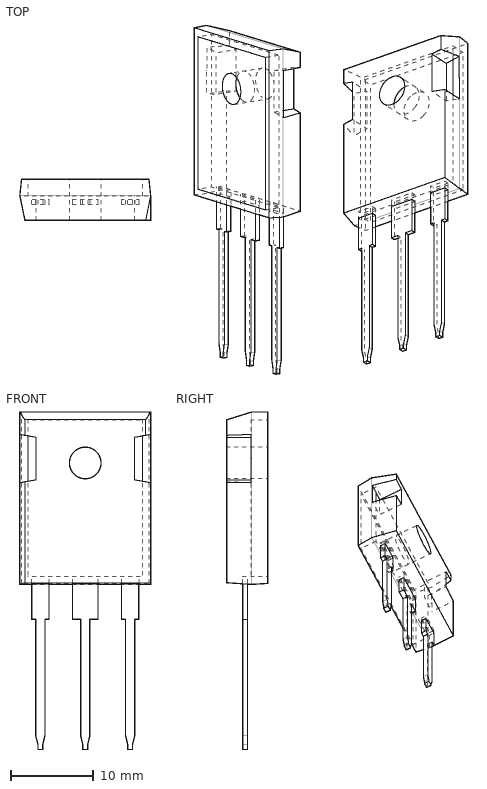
import cadquery as cq


width = 15.9
half_width = width / 2
top_z = 41.0
bottom_z = 20.05
front_depth = 3.05
back_depth = 1.95
front_top_inset = 0.95
front_side_inset = 0.6
front_bottom_inset = 0.2
back_side_inset = 0.2
back_bottom_inset = 0.12

notch_depth = 1.95
notch_floor_y = -0.1
notch_center_z = 35.35
notch_inner_height = 5.15
notch_outer_height = 5.85

hole_diameter = 3.8
hole_z = 34.83

plate_margin = 1.0

lead_pitch = 5.45
lead_thickness = 0.6
lead_back_y = -0.5
lead_embed = 1.0
lead_top_z = bottom_z + lead_embed
shoulder_z = 15.85
shank_width = 1.15
tip_width = 0.6
taper_top_z = 1.72
taper_bottom_z = 0.6
side_shoulder_width = 2.15
middle_shoulder_width = 3.1

overshoot = 0.4


def outline_wire(y, side_inset, top_inset, bottom_inset):
    """Rectangular outline of the housing in the plane at the given Y."""
    x = half_width - side_inset
    low = bottom_z + bottom_inset
    high = top_z - top_inset
    corners = [(-x, low), (x, low), (x, high), (-x, high)]
    return cq.Wire.makePolygon([cq.Vector(px, y, pz) for px, pz in corners], close=True)


def drafted_block(first, second):
    """Straight-sided solid between two outlines."""
    return cq.Workplane(obj=cq.Solid.makeLoft([first, second], True))


def front_block():
    """Front half: drafted all round, but with a straight +X side below the notch."""
    parting = outline_wire(0, 0, 0, 0)
    face = outline_wire(-front_depth, front_side_inset, front_top_inset, front_bottom_inset)
    straight_face = outline_wire(-front_depth, 0, front_top_inset, front_bottom_inset)
    lower_corner = cq.Workplane().box(
        half_width, front_depth, notch_center_z - bottom_z, centered=False
    ).translate((0, -front_depth, bottom_z))
    straight_side = drafted_block(parting, straight_face).intersect(lower_corner)
    return drafted_block(parting, face).union(straight_side)


def back_block():
    parting = outline_wire(0, 0, 0, 0)
    face = outline_wire(back_depth, back_side_inset, 0, back_bottom_inset)
    return drafted_block(parting, face)


def side_notch(side):
    """Flared notch cutter for the -X (side = -1) or +X (side = 1) edge."""
    flare = (notch_outer_height - notch_inner_height) / 2 / notch_depth
    inner_x = half_width - notch_depth
    outer_x = half_width + overshoot
    inner_half = notch_inner_height / 2
    outer_half = notch_outer_height / 2 + flare * overshoot
    points = [
        (side * inner_x, notch_center_z - inner_half),
        (side * outer_x, notch_center_z - outer_half),
        (side * outer_x, notch_center_z + outer_half),
        (side * inner_x, notch_center_z + inner_half),
    ]
    floor = cq.Workplane("XZ", origin=(0, notch_floor_y, 0))
    return floor.polyline(points).close().extrude(front_depth + overshoot)


def mounting_hole():
    return (
        cq.Workplane("XZ", origin=(0, 0, hole_z))
        .circle(hole_diameter / 2)
        .extrude(front_depth + back_depth + overshoot, both=True)
    )


def make_plate():
    plate_width = width - 2 * plate_margin
    plate_height = top_z - bottom_z - 2 * plate_margin
    plate_thickness = back_depth - notch_floor_y
    plate = cq.Workplane().box(plate_width, plate_thickness, plate_height)
    plate = plate.translate((0, (back_depth + notch_floor_y) / 2, (top_z + bottom_z) / 2))
    return plate.cut(mounting_hole())


def make_lead(x, shoulder_width):
    """Flat lead with a wide shoulder and a narrowed tip."""
    half_profile = [
        (tip_width / 2, 0),
        (tip_width / 2, taper_bottom_z),
        (shank_width / 2, taper_top_z),
        (shank_width / 2, shoulder_z),
        (shoulder_width / 2, shoulder_z),
        (shoulder_width / 2, lead_top_z),
    ]
    mirrored = [(-px, pz) for px, pz in reversed(half_profile)]
    return (
        cq.Workplane("XZ", origin=(x, lead_back_y, 0))
        .polyline(half_profile + mirrored)
        .close()
        .extrude(lead_thickness)
    )


def make_housing(plate, leads):
    """Moulded body with notches, mounting hole and seats for the other bodies."""
    housing = front_block().union(back_block())
    for side in (-1, 1):
        housing = housing.cut(side_notch(side))
    housing = housing.cut(mounting_hole()).cut(plate)
    for lead in leads:
        housing = housing.cut(lead)
    return housing


plate = make_plate()
leads = []
for position in (-1, 0, 1):
    shoulder = middle_shoulder_width if position == 0 else side_shoulder_width
    leads.append(make_lead(position * lead_pitch, shoulder))
housing = make_housing(plate, leads)

result = cq.Compound.makeCompound(
    [*housing.vals(), plate.val(), *[lead.val() for lead in leads]]
)